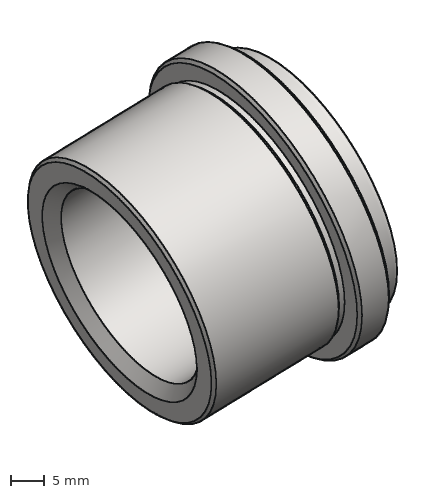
import cadquery as cq

length = 35.0
flange_diameter = 51.0
body_diameter = 45.0
bore_diameter = 33.0

back_collar_length = 4.0
flange_thickness = 6.0
groove_width = 1.0
edge_chamfer = 0.5
bore_chamfer = 2.0
back_edge_radius = 1.0

flange_radius = flange_diameter / 2
body_radius = body_diameter / 2
bore_radius = bore_diameter / 2
groove_radius = body_radius - edge_chamfer

front_y = -length / 2
back_y = length / 2
flange_back_y = back_y - back_collar_length
flange_front_y = flange_back_y - flange_thickness
groove_front_y = flange_front_y - groove_width

half_section = (
    cq.Workplane("XY")
    .moveTo(bore_radius, back_y)
    .lineTo(bore_radius, front_y + bore_chamfer)
    .lineTo(bore_radius + bore_chamfer, front_y)
    .lineTo(body_radius - edge_chamfer, front_y)
    .lineTo(body_radius, front_y + edge_chamfer)
    .lineTo(body_radius, groove_front_y - edge_chamfer)
    .lineTo(groove_radius, groove_front_y)
    .lineTo(groove_radius, flange_front_y)
    .lineTo(flange_radius - edge_chamfer, flange_front_y)
    .lineTo(flange_radius, flange_front_y + edge_chamfer)
    .lineTo(flange_radius, flange_back_y - edge_chamfer)
    .lineTo(flange_radius - edge_chamfer, flange_back_y)
    .lineTo(body_radius, flange_back_y)
    .lineTo(body_radius, back_y - back_edge_radius)
    .radiusArc((body_radius - back_edge_radius, back_y), -back_edge_radius)
    .close()
)

result = half_section.revolve(360, (0, 0, 0), (0, 1, 0))